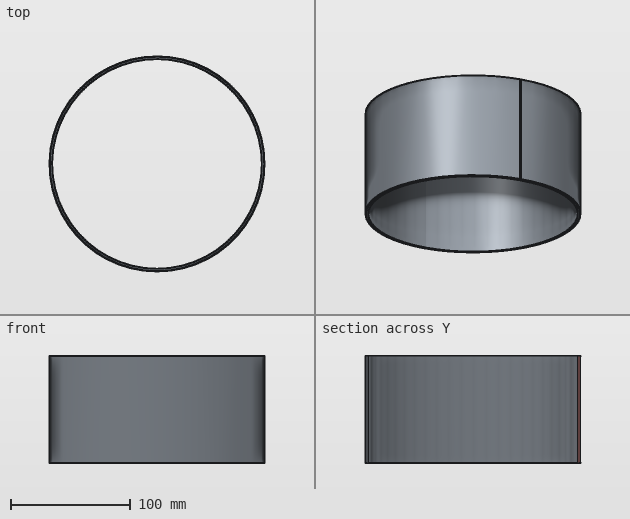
import cadquery as cq

outer_diameter = 180.0
wall_thickness = 2.5
height = 90.0
split_width = 1.5
outer_chamfer = 0.5
inner_chamfer = 0.25

outer_radius = outer_diameter / 2
inner_radius = outer_radius - wall_thickness


def make_band():
    """Ring standing on the XY plane, revolved from a wall section with chamfered corners."""
    wall_section = [
        (inner_radius + inner_chamfer, 0),
        (outer_radius - outer_chamfer, 0),
        (outer_radius, outer_chamfer),
        (outer_radius, height - outer_chamfer),
        (outer_radius - outer_chamfer, height),
        (inner_radius + inner_chamfer, height),
        (inner_radius, height - inner_chamfer),
        (inner_radius, inner_chamfer),
    ]
    section = cq.Workplane("XZ").polyline(wall_section).close()
    return section.revolve(360, (0, 0, 0), (0, 1, 0))


def make_split():
    """Narrow block through the -X wall, with one side on the XZ plane and the other toward +Y."""
    block = cq.Workplane("XY").box(outer_radius, split_width, height, centered=False)
    return block.translate((-outer_radius, 0, 0))


result = make_band().cut(make_split())